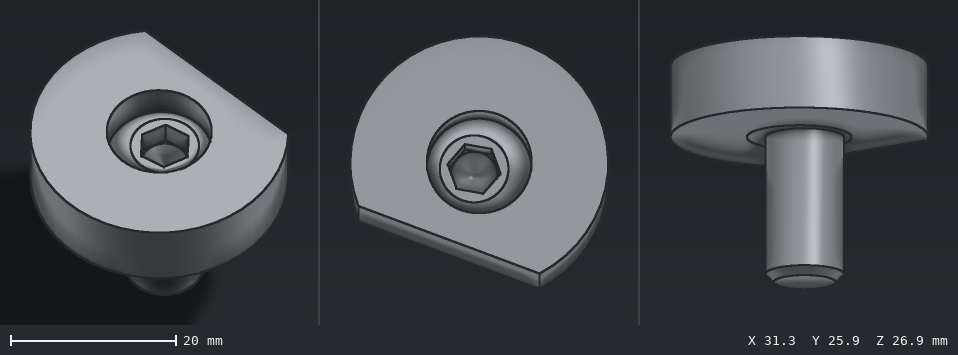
import cadquery as cq
import math

WASHER_DIAMETER = 31.25
WASHER_THICKNESS = 8.9
FLAT_DISTANCE = 10.3
BORE_DIAMETER = 12.68

AXIS_X = 0.5
AXIS_Y = 0.45
TOTAL_HEIGHT = 26.93
SHANK_DIAMETER = 9.55
TIP_CHAMFER = 1.0
HEAD_RECESS = 2.8
HEAD_TOP_DIAMETER = 8.3
HEAD_SLOPE = 33.0

HEX_ACROSS_FLATS = 5.62
HEX_DEPTH = 3.12
HEX_ROTATION = 40.5
DRILL_POINT_ANGLE = 118.0

SHANK_LENGTH = TOTAL_HEIGHT - WASHER_THICKNESS
HEAD_HEIGHT = WASHER_THICKNESS - HEAD_RECESS


def make_washer():
    """Washer resting on Z = 0, cut flat on +Y and bored through."""
    disc = cq.Workplane("XY").circle(WASHER_DIAMETER / 2).extrude(WASHER_THICKNESS)
    beyond_flat = (
        cq.Workplane("XY")
        .box(WASHER_DIAMETER, WASHER_DIAMETER, WASHER_THICKNESS, centered=(True, False, False))
        .translate((0, FLAT_DISTANCE, 0))
    )
    bore = cq.Workplane("XY").circle(BORE_DIAMETER / 2).extrude(WASHER_THICKNESS)
    return disc.cut(beyond_flat).cut(bore)


def make_head():
    """Eccentric head filling the bore, with a conical top centred on the screw axis."""
    cam = cq.Workplane("XY").circle(BORE_DIAMETER / 2).extrude(HEAD_HEIGHT)
    top_radius = HEAD_TOP_DIAMETER / 2
    base_radius = top_radius + HEAD_HEIGHT / math.tan(math.radians(HEAD_SLOPE))
    cone = (
        cq.Workplane("XZ")
        .polyline([(0, 0), (base_radius, 0), (top_radius, HEAD_HEIGHT), (0, HEAD_HEIGHT)])
        .close()
        .revolve(360, (0, 0), (0, 1))
        .translate((AXIS_X, AXIS_Y, 0))
    )
    return cam.intersect(cone)


def make_shank():
    """Plain shank below the head, chamfered at its tip."""
    return (
        cq.Workplane("XY")
        .center(AXIS_X, AXIS_Y)
        .circle(SHANK_DIAMETER / 2)
        .extrude(-SHANK_LENGTH)
        .faces("<Z")
        .chamfer(TIP_CHAMFER)
    )


def make_socket():
    """Hexagonal socket volume ending in an inscribed drill point."""
    floor_z = HEAD_HEIGHT - HEX_DEPTH
    hexagon = (
        cq.Workplane("XY")
        .polygon(6, HEX_ACROSS_FLATS, circumscribed=True)
        .extrude(HEX_DEPTH)
        .rotate((0, 0, 0), (0, 0, 1), HEX_ROTATION)
        .translate((0, 0, floor_z))
    )
    drill_radius = HEX_ACROSS_FLATS / 2
    point_depth = drill_radius / math.tan(math.radians(DRILL_POINT_ANGLE / 2))
    drill_point = (
        cq.Workplane("XZ")
        .polyline([(0, floor_z), (drill_radius, floor_z), (0, floor_z - point_depth)])
        .close()
        .revolve(360, (0, 0), (0, 1))
    )
    return hexagon.union(drill_point).translate((AXIS_X, AXIS_Y, 0))


def make_cam_screw():
    """Head and shank as one solid, with the socket cut in the top."""
    return make_head().union(make_shank()).cut(make_socket())


washer = make_washer()
cam_screw = make_cam_screw()

result = cq.Compound.makeCompound([washer.solids().val(), cam_screw.solids().val()])